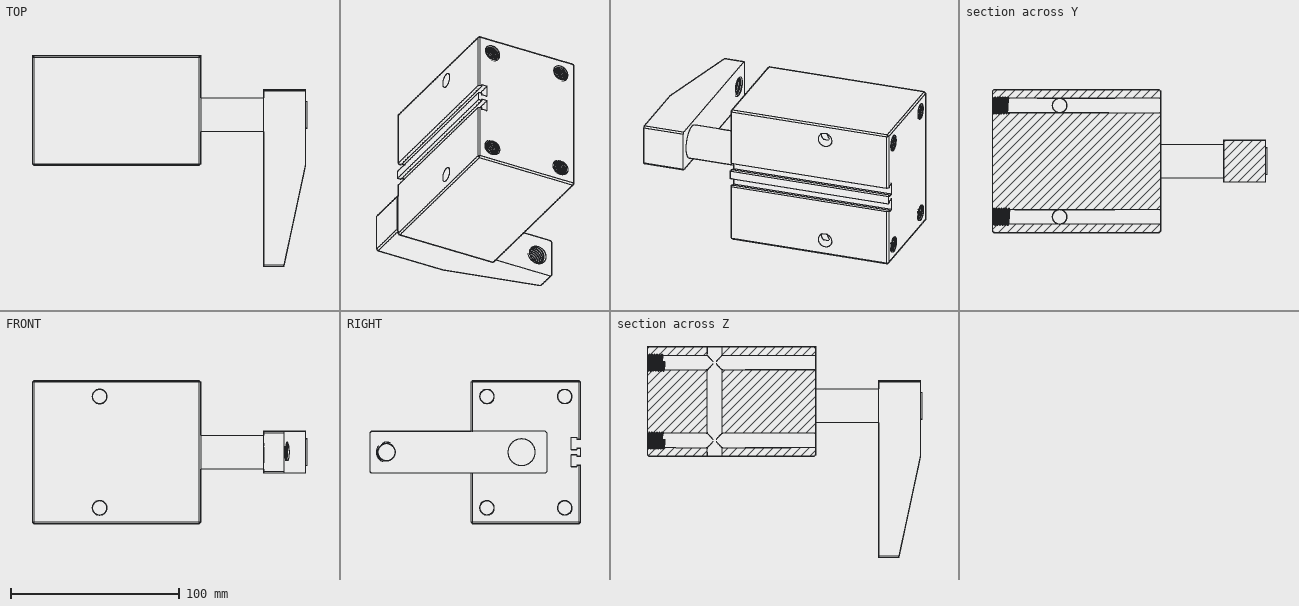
import cadquery as cq
import math

housing_length = 100.0
housing_depth = 65.0
housing_height = 85.0
housing_chamfer = 1.0

corner_inset = 9.5
corner_thread_minor = 8.3
corner_thread_major = 10.0
corner_thread_pitch = 1.5
corner_thread_depth = 10.0
corner_thread_angles = {1: 140, -1: -40}

cross_hole_x = 40.0
cross_hole_diameter = 8.5

slot_offset = 5.0
slot_mouth_width = 5.2
slot_mouth_depth = 2.3
slot_base_width = 7.0
slot_depth = 5.7

rod_diameter = 20.0
rod_length = 37.2
rod_y = -35.0

arm_section = 25.0
arm_length = 105.0
arm_overhang = 15.0
arm_tip_thickness = 12.0
arm_taper_length = 60.0
arm_chamfer = 1.0

tip_hole_inset = 10.0
tip_thread_minor = 10.1
tip_thread_major = 12.0
tip_thread_pitch = 1.8
tip_thread_angle = -105

stud_protrusion = 1.0
stud_major = 16.0
stud_minor = 14.0
stud_pitch = 1.5
stud_thread_length = 3.0

groove_open_fraction = 0.85
groove_deep_fraction = 0.15
groove_overrun = 0.08

corner_ys = (-corner_inset, corner_inset - housing_depth)
corner_z = housing_height / 2 - corner_inset
arm_start_x = housing_length + rod_length
arm_end_x = arm_start_x + arm_section
arm_top_y = rod_y + arm_overhang
arm_tip_y = arm_top_y - arm_length
tip_hole_y = arm_tip_y + tip_hole_inset
stud_end_x = arm_end_x + stud_protrusion


def x_cylinder(diameter, start_x, end_x, y, z=0):
    """Cylinder along X between two stations."""
    plane = cq.Plane(origin=(start_x, y, z), xDir=(0, 1, 0), normal=(1, 0, 0))
    return cq.Workplane(plane).circle(diameter / 2).extrude(end_x - start_x)


def slot_box(near_y, far_y, width, z):
    """Box along the whole housing between two depths below its +Y face."""
    box = cq.Workplane("XY").box(housing_length, far_y - near_y, width)
    return box.translate((housing_length / 2, -(near_y + far_y) / 2, z))


def thread_groove(open_diameter, deep_diameter, pitch, length, start_angle):
    """Helical groove along +X from the origin, widest at the open diameter."""
    open_radius = open_diameter / 2
    deep_radius = deep_diameter / 2
    mouth_radius = open_radius + math.copysign(groove_overrun, open_radius - deep_radius)
    half_mouth = groove_open_fraction * pitch / 2
    half_floor = groove_deep_fraction * pitch / 2
    helix = cq.Workplane(obj=cq.Wire.makeHelix(pitch, length, open_radius))
    groove = (
        cq.Workplane("XZ")
        .polyline([
            (mouth_radius, -half_mouth),
            (deep_radius, -half_floor),
            (deep_radius, half_floor),
            (mouth_radius, half_mouth),
        ])
        .close()
        .sweep(helix, isFrenet=True)
    )
    groove = groove.rotate((0, 0, 0), (0, 0, 1), start_angle)
    return groove.rotate((0, 0, 0), (0, 1, 0), 90)


def cut_t_slots(body):
    """Cut the two T-slots, leaving a sharp-cornered rib between them."""
    rib_width = 2 * slot_offset - slot_mouth_width
    body = body.union(slot_box(0, slot_depth, rib_width, 0))
    for z in (-slot_offset, slot_offset):
        body = body.cut(slot_box(0, slot_mouth_depth, slot_mouth_width, z))
        body = body.cut(slot_box(slot_mouth_depth, slot_depth, slot_base_width, z))
    return body


def cut_cross_holes(body):
    centres = [(cross_hole_x, corner_z), (cross_hole_x, -corner_z)]
    holes = cq.Workplane("XZ").pushPoints(centres).circle(cross_hole_diameter / 2).extrude(housing_depth)
    return body.cut(holes)


def cut_corner_holes(body):
    """Through holes at the corners, threaded from the -X face."""
    for side, angle in corner_thread_angles.items():
        groove = thread_groove(
            corner_thread_minor,
            corner_thread_major,
            corner_thread_pitch,
            corner_thread_depth + corner_thread_pitch,
            angle,
        )
        z = side * corner_z
        for y in corner_ys:
            body = body.cut(x_cylinder(corner_thread_minor, 0, housing_length, y, z))
            body = body.cut(groove.translate((-corner_thread_pitch, y, z)))
    return body


def make_housing():
    block = cq.Workplane("XY").box(housing_length, housing_depth, housing_height)
    block = block.edges().chamfer(housing_chamfer)
    block = block.translate((housing_length / 2, -housing_depth / 2, 0))
    return cut_corner_holes(cut_cross_holes(cut_t_slots(block)))


def make_rod():
    return x_cylinder(rod_diameter, housing_length, arm_start_x, rod_y)


def make_arm():
    bar = (
        cq.Workplane("XY")
        .polyline([
            (arm_start_x, arm_top_y),
            (arm_end_x, arm_top_y),
            (arm_end_x, arm_tip_y + arm_taper_length),
            (arm_start_x + arm_tip_thickness, arm_tip_y),
            (arm_start_x, arm_tip_y),
        ])
        .close()
        .extrude(arm_section / 2, both=True)
    )
    bar = bar.faces("<Y or >Y").edges("|X").chamfer(arm_chamfer)
    bar = bar.cut(x_cylinder(stud_major, arm_start_x, arm_end_x, rod_y))
    bar = bar.cut(x_cylinder(tip_thread_minor, arm_start_x, arm_end_x, tip_hole_y))
    groove = thread_groove(
        tip_thread_minor, tip_thread_major, tip_thread_pitch, arm_section, tip_thread_angle
    )
    return bar.cut(groove.translate((arm_start_x - tip_thread_pitch, tip_hole_y, 0)))


def make_stud():
    stud = x_cylinder(stud_major, arm_start_x, stud_end_x, rod_y)
    groove = thread_groove(stud_major, stud_minor, stud_pitch, stud_thread_length + stud_pitch, 0)
    return stud.cut(groove.translate((stud_end_x - stud_thread_length, rod_y, 0)))


housing = make_housing()
rod = make_rod()
arm = make_arm()
stud = make_stud()
bodies = [housing, rod, arm, stud]
result = cq.Compound.makeCompound([body.solids().val() for body in bodies])